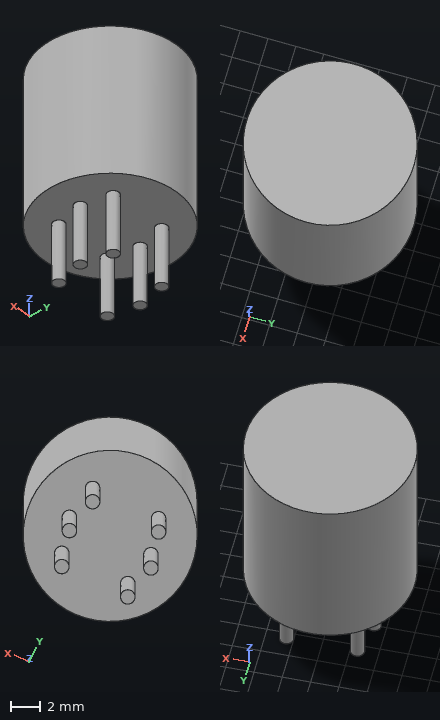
import cadquery as cq

total_height = 17.9
housing_diameter = 12.0
pin_diameter = 1.0
pin_length = 5.1
corner_pin_offset = 2.5
middle_pin_offset = 3.1

housing_height = total_height - pin_length


def make_housing():
    """Plain cylinder standing on the Z = 0 plane."""
    return cq.Workplane("XY").circle(housing_diameter / 2).extrude(housing_height)


def make_pin(x, y):
    """Straight round pin hanging from the underside of the housing."""
    return cq.Workplane("XY").center(x, y).circle(pin_diameter / 2).extrude(-pin_length)


housing = make_housing()

pins = []
for side in (-1, 1):
    pins.append(make_pin(side * corner_pin_offset, -corner_pin_offset))
    pins.append(make_pin(side * middle_pin_offset, 0))
    pins.append(make_pin(side * corner_pin_offset, corner_pin_offset))

result = cq.Compound.makeCompound([housing.val(), *[pin.val() for pin in pins]])